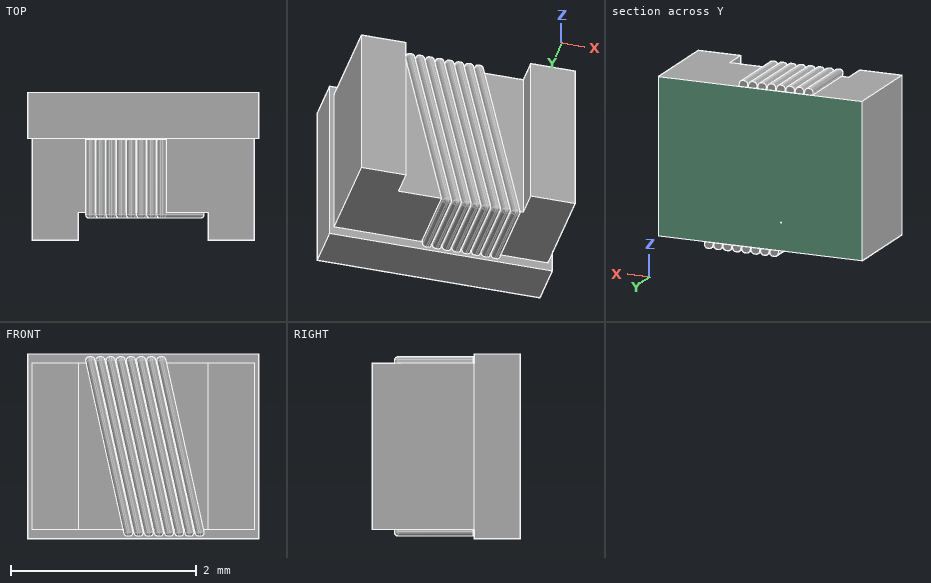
import cadquery as cq

flange_width = 2.5
flange_height = 2.0
flange_thickness = 0.5
part_depth = 1.6

core_inset = 0.05
core_width = flange_width - 2 * core_inset
core_height = 1.8
foot_width = 0.5
foot_length = 0.3

turn_count = 8
turn_pitch = 0.11
wire_width = 0.1
wire_height = 0.07
wire_front_height = 0.06
wire_end_gap = 0.01
wire_rounding = 0.04
winding_center = 0.0175
winding_slant = 0.43

back_face = part_depth / 2
flange_face = back_face - flange_thickness
foot_face = -part_depth / 2
notch_face = foot_face + foot_length


def block(width, height, front, back):
    """Box centred on X and Z, reaching from front to back along Y."""
    return cq.Workplane("XY").box(width, back - front, height).translate((0, (front + back) / 2, 0))


def make_core():
    flange = block(flange_width, flange_height, flange_face, back_face)
    core = block(core_width, core_height, foot_face, flange_face)
    notch = block(core_width - 2 * foot_width, core_height, foot_face, notch_face)
    return flange.union(core).cut(notch)


def make_turn(center):
    """One slanted turn; its inner part lies within the core, so only the wire stands out."""
    top = core_height / 2 + wire_height
    back = flange_face - wire_end_gap
    front = notch_face - wire_front_height
    top_left = center - winding_slant / 2 - wire_width / 2
    bottom_left = top_left + winding_slant
    outline = [
        (top_left, top),
        (top_left + wire_width, top),
        (bottom_left + wire_width, -top),
        (bottom_left, -top),
    ]
    sketch_plane = cq.Workplane("XZ", origin=(0, back, 0))
    slab = sketch_plane.polyline(outline).close().extrude(back - front)
    return slab.edges("|Y or <Y").fillet(wire_rounding)


result = make_core()
for turn in range(turn_count):
    offset = (turn - (turn_count - 1) / 2) * turn_pitch
    result = result.union(make_turn(winding_center + offset))